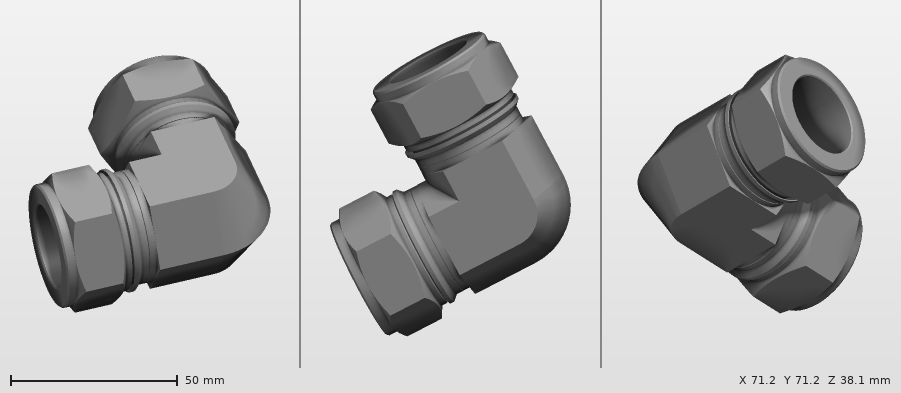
import cadquery as cq
import math

OVERALL_LENGTH = 71.19

BODY_CORNER_RADIUS = 20.0
BODY_ARM_LENGTH = 20.3

NUT_ACROSS_FLATS = 38.1
NUT_CHAMFER_ANGLE = 30.0
NUT_FRONT_COLLAR_LENGTH = 3.2
NUT_FRONT_COLLAR_RADIUS = 38.0 / 2
NUT_FRONT_BEVEL_LENGTH = 0.6
NUT_FRONT_BEVEL_DEPTH = 0.5
NUT_REAR_COLLAR_RADIUS = 36.5 / 2
NUT_REAR_BEVEL = 0.3
NUT_REAR_CORNER = 32.6
NUT_BACK_FACE = 28.4

GAP_RADIUS = 33.34 / 2
FLANGE_RADIUS = 37.8 / 2
FLANGE_FRONT = 27.95
FLANGE_LIP_THICKNESS = 0.35
FLANGE_BACK = 26.7
FLANGE_CONE_END = 25.0
NECK_RADIUS = 34.5 / 2
GROOVE_RADIUS = GAP_RADIUS
GROOVE_POSITION = 22.6
GROOVE_WIDTH = 0.25

BORE_RADIUS = 25.6 / 2
BORE_DEPTH = 31.2
BORE_MOUTH_BEVEL = 0.4

HEX_HALF_ANGLE = math.pi / 6
NUT_CORNER_RADIUS = NUT_ACROSS_FLATS / 2 / math.cos(HEX_HALF_ANGLE)
ARM_LENGTH = OVERALL_LENGTH - NUT_CORNER_RADIUS
CHAMFER_SLOPE = math.tan(math.radians(NUT_CHAMFER_ANGLE))
BODY_FLAT_RADIUS = BODY_CORNER_RADIUS * math.cos(HEX_HALF_ANGLE)

ARM_ROTATIONS = (180, -90)


def revolve_about_x(points):
    """Solid of revolution about the X axis from (axial, radius) points."""
    return cq.Workplane("XY").polyline(points).close().revolve(360, (0, 0, 0), (1, 0, 0))


def make_body_arm():
    """Half of the elbow along +X, with the outside of the bend on the -Y side."""
    half_flat = BODY_CORNER_RADIUS / 2
    tangent_y = BODY_FLAT_RADIUS * math.cos(HEX_HALF_ANGLE)
    tangent_z = BODY_FLAT_RADIUS * math.sin(HEX_HALF_ANGLE)
    return (
        cq.Workplane("YZ")
        .moveTo(-BODY_CORNER_RADIUS, 0)
        .lineTo(-half_flat, BODY_FLAT_RADIUS)
        .lineTo(half_flat, BODY_FLAT_RADIUS)
        .lineTo(tangent_y, tangent_z)
        .threePointArc((BODY_FLAT_RADIUS, 0), (tangent_y, -tangent_z))
        .lineTo(half_flat, -BODY_FLAT_RADIUS)
        .lineTo(-half_flat, -BODY_FLAT_RADIUS)
        .close()
        .extrude(BODY_ARM_LENGTH)
    )


def make_bend():
    """Outside of the bend: the outer half of the hexagon turned about Z."""
    return (
        cq.Workplane("XZ")
        .moveTo(0, -BODY_FLAT_RADIUS)
        .lineTo(BODY_CORNER_RADIUS / 2, -BODY_FLAT_RADIUS)
        .lineTo(BODY_CORNER_RADIUS, 0)
        .lineTo(BODY_CORNER_RADIUS / 2, BODY_FLAT_RADIUS)
        .lineTo(0, BODY_FLAT_RADIUS)
        .close()
        .revolve(360, (0, 0, 0), (0, 1, 0))
    )


def make_nut():
    """Hexagon nut along +X, its corners chamfered down to a round collar at each end."""
    hex_front = ARM_LENGTH - NUT_FRONT_COLLAR_LENGTH
    front_chamfer = (NUT_CORNER_RADIUS - NUT_FRONT_COLLAR_RADIUS) * CHAMFER_SLOPE
    rear_chamfer = (NUT_CORNER_RADIUS - NUT_REAR_COLLAR_RADIUS) * CHAMFER_SLOPE
    hex_rear = NUT_REAR_CORNER - rear_chamfer
    envelope = revolve_about_x([
        (NUT_BACK_FACE, 0),
        (NUT_BACK_FACE, NUT_REAR_COLLAR_RADIUS - NUT_REAR_BEVEL),
        (NUT_BACK_FACE + NUT_REAR_BEVEL, NUT_REAR_COLLAR_RADIUS),
        (hex_rear, NUT_REAR_COLLAR_RADIUS),
        (NUT_REAR_CORNER, NUT_CORNER_RADIUS),
        (hex_front - front_chamfer, NUT_CORNER_RADIUS),
        (hex_front, NUT_FRONT_COLLAR_RADIUS),
        (ARM_LENGTH - NUT_FRONT_BEVEL_LENGTH, NUT_FRONT_COLLAR_RADIUS),
        (ARM_LENGTH, NUT_FRONT_COLLAR_RADIUS - NUT_FRONT_BEVEL_DEPTH),
        (ARM_LENGTH, 0),
    ])
    hexagon = (
        cq.Workplane("YZ", origin=(NUT_BACK_FACE, 0, 0))
        .polygon(6, 2 * NUT_CORNER_RADIUS)
        .extrude(ARM_LENGTH - NUT_BACK_FACE)
    )
    return envelope.intersect(hexagon)


def make_neck():
    """Round neck along +X with a coned flange, recessed towards the nut, and a thin groove."""
    lip_inner_radius = FLANGE_RADIUS - FLANGE_LIP_THICKNESS
    cone_slope = (FLANGE_BACK - FLANGE_CONE_END) / (FLANGE_RADIUS - NECK_RADIUS)
    recess_end = FLANGE_BACK - (lip_inner_radius - GAP_RADIUS) * cone_slope
    groove_start = GROOVE_POSITION - GROOVE_WIDTH / 2
    groove_end = GROOVE_POSITION + GROOVE_WIDTH / 2
    return revolve_about_x([
        (0, 0),
        (0, NECK_RADIUS),
        (groove_start, NECK_RADIUS),
        (groove_start, GROOVE_RADIUS),
        (groove_end, GROOVE_RADIUS),
        (groove_end, NECK_RADIUS),
        (FLANGE_CONE_END, NECK_RADIUS),
        (FLANGE_BACK, FLANGE_RADIUS),
        (FLANGE_FRONT, FLANGE_RADIUS),
        (FLANGE_FRONT, lip_inner_radius),
        (FLANGE_BACK, lip_inner_radius),
        (recess_end, GAP_RADIUS),
        (NUT_BACK_FACE, GAP_RADIUS),
        (NUT_BACK_FACE, 0),
    ])


def make_socket():
    """Blind tube socket, cut from the nut face with a small bevel at its mouth."""
    return revolve_about_x([
        (ARM_LENGTH - BORE_DEPTH, 0),
        (ARM_LENGTH - BORE_DEPTH, BORE_RADIUS),
        (ARM_LENGTH - BORE_MOUTH_BEVEL, BORE_RADIUS),
        (ARM_LENGTH, BORE_RADIUS + BORE_MOUTH_BEVEL),
        (ARM_LENGTH, 0),
    ])


def place_on_arms(solid):
    """The solid turned onto the -X arm and onto the -Y arm."""
    return [solid.rotate((0, 0, 0), (0, 0, 1), angle) for angle in ARM_ROTATIONS]


def make_body():
    """Elbow body: two arms mitred on the inside and coned round the outside."""
    arm = make_body_arm()
    x_arm = arm.mirror("YZ").mirror("XZ")
    y_arm = arm.rotate((0, 0, 0), (0, 0, 1), -90).mirror("YZ")
    outer_corner = cq.Workplane("XY").box(
        BODY_CORNER_RADIUS, BODY_CORNER_RADIUS, 2 * BODY_CORNER_RADIUS, centered=(False, False, True)
    )
    return x_arm.union(y_arm).union(make_bend().intersect(outer_corner))


result = make_body()
for fitting in place_on_arms(make_neck().union(make_nut())):
    result = result.union(fitting)
for socket in place_on_arms(make_socket()):
    result = result.cut(socket)